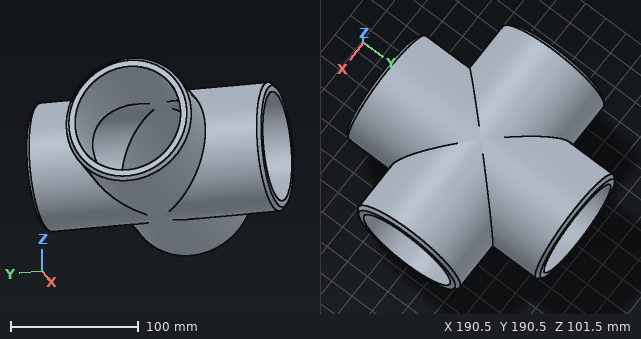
import cadquery as cq

length = 190.5
outer_diameter = 101.5
bore_diameter = 85.7
end_chamfer = 2.9

RUN_PLANES = ("YZ", "XZ")


def centred_cylinder(plane, diameter):
    """Full-length cylinder through the origin, normal to the plane."""
    return cq.Workplane(plane).circle(diameter / 2).extrude(length / 2, both=True)


def outer_run(plane):
    """Solid pipe run with both outer end edges chamfered."""
    run = centred_cylinder(plane, outer_diameter)
    return run.faces("%PLANE").edges().chamfer(end_chamfer)


outer_body = outer_run(RUN_PLANES[0]).union(outer_run(RUN_PLANES[1]))

result = outer_body
for bore_plane in RUN_PLANES:
    result = result.cut(centred_cylinder(bore_plane, bore_diameter))